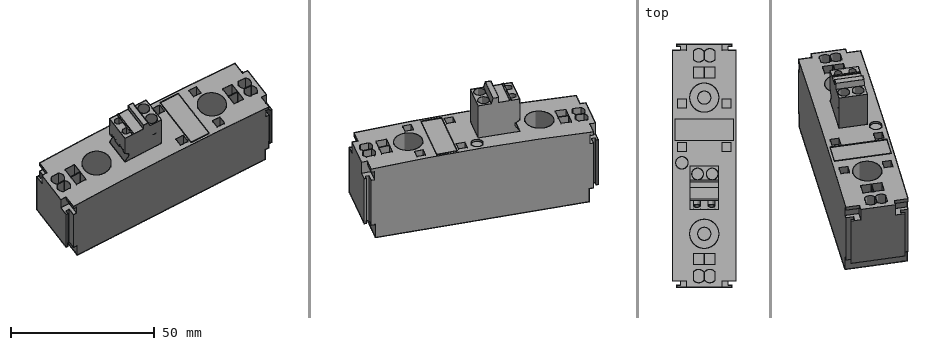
import cadquery as cq

LENGTH = 84.6
WIDTH = 22.2
HEIGHT = 47.4

FOOT_HEIGHT = 0.25
PLINTH_LENGTH = 77.3
PLINTH_TOP = 5.9
HOUSING_LENGTH = 80.4
HOUSING_TOP = 25.4
END_PLATE_WIDTH = 19.2
END_PLATE_THICKNESS = 0.8
END_NECK_WIDTH = 16.6

FOOT_PAD_WIDTH = 14.2
FOOT_PAD_LENGTH = 39.6
FOOT_DISC_DIAMETER = 1.3
FOOT_DISC_X = 9.3
FOOT_DISC_Y = 37.65

COVER_LENGTH = 77.8
CROWN_TOP = 31.3
CROWN_END = 30.1
LIP_BOTTOM = 28.85
TONGUE_WIDTH = 12.35

WELL_Y = 23.7
WELL_DIAMETER = 10.15
WELL_FLOOR = 15.2
SCREW_DIAMETER = 4.6
SCREW_FLOOR = 10.15

ENTRY_WALL = 0.25
ENTRY_WIDTH = 3.6
ENTRY_FLOOR = 20.3
ROUND_ENTRY_DIAMETER = 4.65
ROUND_ENTRY_Y = 38.4
SQUARE_ENTRY_LENGTH = 3.9
SQUARE_ENTRY_Y = 32.4

CLIP_X = 7.7
CLIP_YS = (6.5, 21.6)
CLIP_SIZE = 3.1
CLIP_FLOOR = 25.4
LABEL_WIDTH = 20.2
LABEL_LENGTH = 7.45
LABEL_Y = 12.5
LABEL_FLOOR = 30.9
LAMP_X = -7.8
LAMP_Y = 1.0
LAMP_DIAMETER = 4.3
LAMP_FLOOR = 30.45

PLUG_WIDTH = 10.1
PLUG_BACK = -0.2
PLUG_FRONT = -15.2
PLUG_TOP = 45.2
RIB_BACK_FOOT = -4.9
RIB_BACK = -5.6
RIB_FRONT = -7.6
NOTCH_TOP = 36.1
NOTCH_BOTTOM = 31.4
NOTCH_WALL_TOP = 34.85
NOTCH_WALL_BOTTOM = 33.9
NOTCH_DEPTH = 1.7
BEAD_BACK = -11.6
BEAD_HEIGHT = 0.25
PLUG_PITCH = 5.1
PLUG_SCREW_X = 0.21
PLUG_SCREW_Y = -2.9
PLUG_SCREW_DIAMETER = 4.1
PLUG_SCREW_DEPTH = 6.8
SLOT_BACK = -12.2
SLOT_WIDTH = 2.45
SLOT_LENGTH = 2.4
CHANNEL_TOP = 37.05
CHANNEL_HEIGHT = 2.3


def block(width, length, bottom, top, x=0.0, y=0.0):
    """Upright block centred on (x, y)."""
    base = cq.Workplane("XY", origin=(x, y, bottom))
    return base.rect(width, length).extrude(top - bottom)


def cylinder(diameter, bottom, top, x, y):
    """Upright cylinder centred on (x, y)."""
    base = cq.Workplane("XY", origin=(x, y, bottom))
    return base.circle(diameter / 2).extrude(top - bottom)


def make_housing():
    body = block(WIDTH, PLINTH_LENGTH, FOOT_HEIGHT, PLINTH_TOP)
    body = body.union(block(WIDTH, HOUSING_LENGTH, PLINTH_TOP, HOUSING_TOP))
    body = body.union(block(END_NECK_WIDTH, LENGTH, PLINTH_TOP, HOUSING_TOP))
    plate_y = (LENGTH - END_PLATE_THICKNESS) / 2
    for y in (-plate_y, plate_y):
        plate = block(END_PLATE_WIDTH, END_PLATE_THICKNESS, PLINTH_TOP, HOUSING_TOP, y=y)
        body = body.union(plate)
    return body


def make_feet():
    feet = block(FOOT_PAD_WIDTH, FOOT_PAD_LENGTH, 0, FOOT_HEIGHT)
    for x in (-FOOT_DISC_X, FOOT_DISC_X):
        for y in (-FOOT_DISC_Y, FOOT_DISC_Y):
            feet = feet.union(cylinder(FOOT_DISC_DIAMETER, 0, FOOT_HEIGHT, x, y))
    return feet


def make_cover():
    cover = block(WIDTH, COVER_LENGTH, HOUSING_TOP, CROWN_TOP)
    cover = cover.union(block(WIDTH, HOUSING_LENGTH, LIP_BOTTOM, CROWN_TOP))
    cover = cover.union(block(TONGUE_WIDTH, LENGTH, HOUSING_TOP, CROWN_TOP))
    crown = (
        cq.Workplane("YZ")
        .moveTo(-LENGTH / 2, HOUSING_TOP)
        .lineTo(-LENGTH / 2, CROWN_END)
        .threePointArc((0, CROWN_TOP), (LENGTH / 2, CROWN_END))
        .lineTo(LENGTH / 2, HOUSING_TOP)
        .close()
        .extrude(WIDTH / 2, both=True)
    )
    return cover.intersect(crown)


def make_end_openings(side):
    """Screw well and wire entries of one end; side is -1 or 1 along Y."""
    well_y = side * WELL_Y
    openings = cylinder(WELL_DIAMETER, WELL_FLOOR, CROWN_TOP, 0, well_y)
    openings = openings.union(cylinder(SCREW_DIAMETER, SCREW_FLOOR, WELL_FLOOR, 0, well_y))
    entry_x = (ENTRY_WALL + ENTRY_WIDTH) / 2
    round_y = side * ROUND_ENTRY_Y
    for x in (-entry_x, entry_x):
        flats = block(ENTRY_WIDTH, ROUND_ENTRY_DIAMETER, ENTRY_FLOOR, CROWN_TOP, x, round_y)
        round_entry = cylinder(ROUND_ENTRY_DIAMETER, ENTRY_FLOOR, CROWN_TOP, x, round_y)
        openings = openings.union(round_entry.intersect(flats))
        square_y = side * SQUARE_ENTRY_Y
        openings = openings.union(
            block(ENTRY_WIDTH, SQUARE_ENTRY_LENGTH, ENTRY_FLOOR, CROWN_TOP, x, square_y)
        )
    return openings


def make_cover_recesses():
    recesses = block(LABEL_WIDTH, LABEL_LENGTH, LABEL_FLOOR, CROWN_TOP, y=LABEL_Y)
    recesses = recesses.union(cylinder(LAMP_DIAMETER, LAMP_FLOOR, CROWN_TOP, LAMP_X, LAMP_Y))
    for x in (-CLIP_X, CLIP_X):
        for y in CLIP_YS:
            recesses = recesses.union(block(CLIP_SIZE, CLIP_SIZE, CLIP_FLOOR, CROWN_TOP, x, y))
    return recesses


def make_plug_slot(x):
    """Upright slot with a rounded front, opening into a round-bottomed channel to the front."""
    radius = SLOT_WIDTH / 2
    channel_bottom = CHANNEL_TOP - CHANNEL_HEIGHT
    shaft = (
        cq.Workplane("XY", origin=(x, SLOT_BACK, CHANNEL_TOP))
        .moveTo(-radius, 0)
        .lineTo(-radius, radius - SLOT_LENGTH)
        .threePointArc((0, -SLOT_LENGTH), (radius, radius - SLOT_LENGTH))
        .lineTo(radius, 0)
        .close()
        .extrude(PLUG_TOP + BEAD_HEIGHT - CHANNEL_TOP)
    )
    channel = (
        cq.Workplane("XZ", origin=(x, SLOT_BACK, 0))
        .moveTo(-radius, CHANNEL_TOP)
        .lineTo(-radius, channel_bottom + radius)
        .threePointArc((0, channel_bottom), (radius, channel_bottom + radius))
        .lineTo(radius, CHANNEL_TOP)
        .close()
        .extrude(SLOT_BACK - PLUG_FRONT)
    )
    return shaft.union(channel)


def make_plug():
    plug = (
        cq.Workplane("YZ")
        .moveTo(PLUG_BACK, HOUSING_TOP)
        .lineTo(PLUG_BACK, PLUG_TOP)
        .lineTo(RIB_BACK_FOOT, PLUG_TOP)
        .lineTo(RIB_BACK, HEIGHT)
        .lineTo(RIB_FRONT, HEIGHT)
        .lineTo(RIB_FRONT, PLUG_TOP)
        .lineTo(BEAD_BACK, PLUG_TOP)
        .lineTo(BEAD_BACK, PLUG_TOP + BEAD_HEIGHT)
        .lineTo(SLOT_BACK, PLUG_TOP + BEAD_HEIGHT)
        .lineTo(SLOT_BACK, PLUG_TOP)
        .lineTo(PLUG_FRONT, PLUG_TOP)
        .lineTo(PLUG_FRONT, NOTCH_TOP)
        .lineTo(PLUG_FRONT + NOTCH_DEPTH, NOTCH_WALL_TOP)
        .lineTo(PLUG_FRONT + NOTCH_DEPTH, NOTCH_WALL_BOTTOM)
        .lineTo(PLUG_FRONT, NOTCH_BOTTOM)
        .lineTo(PLUG_FRONT, HOUSING_TOP)
        .close()
        .extrude(PLUG_WIDTH / 2, both=True)
    )
    for offset in (-PLUG_PITCH / 2, PLUG_PITCH / 2):
        screw_x = PLUG_SCREW_X + offset
        floor = PLUG_TOP - PLUG_SCREW_DEPTH
        plug = plug.cut(cylinder(PLUG_SCREW_DIAMETER, floor, HEIGHT, screw_x, PLUG_SCREW_Y))
        plug = plug.cut(make_plug_slot(offset))
    return plug


result = make_housing().union(make_feet()).union(make_cover())
for side in (-1, 1):
    result = result.cut(make_end_openings(side))
result = result.cut(make_cover_recesses()).union(make_plug())